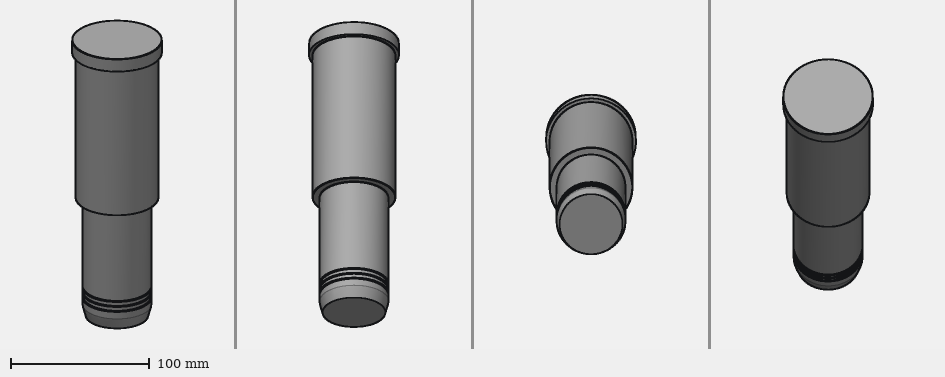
import cadquery as cq

total_length = 220.0
head_height = 10.1
shoulder_z = 93.7
nose_height = 9.0

head_diameter = 65.0
body_diameter = 60.0
shank_diameter = 50.0
tip_diameter = 45.3

edge_chamfer = 0.5

relief_width = 0.7
relief_depth = 0.2

groove_count = 3
groove_pitch = 4.0
groove_width = 0.9
groove_depth = 0.5
lowest_groove_z = 14.3

nose_bulge = 0.2


def cylinder(diameter, bottom_z, top_z):
    """Solid cylinder on the Z axis between two heights."""
    return cq.Workplane("XY").workplane(offset=bottom_z).circle(diameter / 2).extrude(top_z - bottom_z)


def make_nose():
    """Slightly rounded taper from the tip up to the shank diameter."""
    tip_radius = tip_diameter / 2
    shank_radius = shank_diameter / 2
    middle_radius = (tip_radius + shank_radius) / 2 + nose_bulge
    profile = (
        cq.Workplane("XZ")
        .lineTo(tip_radius, 0)
        .threePointArc((middle_radius, nose_height / 2), (shank_radius, nose_height))
        .lineTo(0, nose_height)
        .close()
    )
    return profile.revolve(360, (0, 0, 0), (0, 1, 0))


def ring_cutter(surface_diameter, depth, bottom_z, width):
    """Ring to remove for a groove of the given depth and width in a round surface."""
    top_z = bottom_z + width
    core = cylinder(surface_diameter - 2 * depth, bottom_z, top_z)
    return cylinder(surface_diameter, bottom_z, top_z).cut(core)


head_bottom_z = total_length - head_height
shank = cylinder(shank_diameter, nose_height, shoulder_z)
body = cylinder(body_diameter, shoulder_z, head_bottom_z).edges("<Z").chamfer(edge_chamfer)
head = cylinder(head_diameter, head_bottom_z, total_length).edges(">Z").chamfer(edge_chamfer)
result = make_nose().union(shank).union(body).union(head)

for surface_diameter, corner_z in ((body_diameter, head_bottom_z), (shank_diameter, shoulder_z)):
    relief_bottom_z = corner_z - relief_width
    result = result.cut(ring_cutter(surface_diameter, relief_depth, relief_bottom_z, relief_width))

for index in range(groove_count):
    groove_z = lowest_groove_z + index * groove_pitch
    result = result.cut(ring_cutter(shank_diameter, groove_depth, groove_z, groove_width))